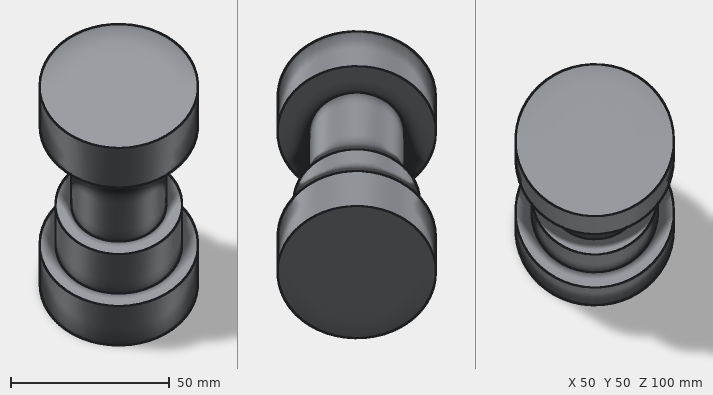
import cadquery as cq

total_height = 100.0
flange_diameter = 50.0
flange_height = 20.0
collar_diameter = 40.0
collar_height = 20.0
shaft_diameter = 30.0
shaft_height = total_height - 2 * flange_height - collar_height

sections = [
    (flange_diameter, flange_height),
    (collar_diameter, collar_height),
    (shaft_diameter, shaft_height),
    (flange_diameter, flange_height),
]


def stack_cylinders(sections):
    """Stack coaxial cylinders along Z, each on the top face of the one below."""
    body = None
    base_height = 0.0
    for diameter, height in sections:
        cylinder = cq.Workplane("XY").workplane(offset=base_height).circle(diameter / 2).extrude(height)
        body = body.union(cylinder) if body else cylinder
        base_height += height
    return body


result = stack_cylinders(sections)